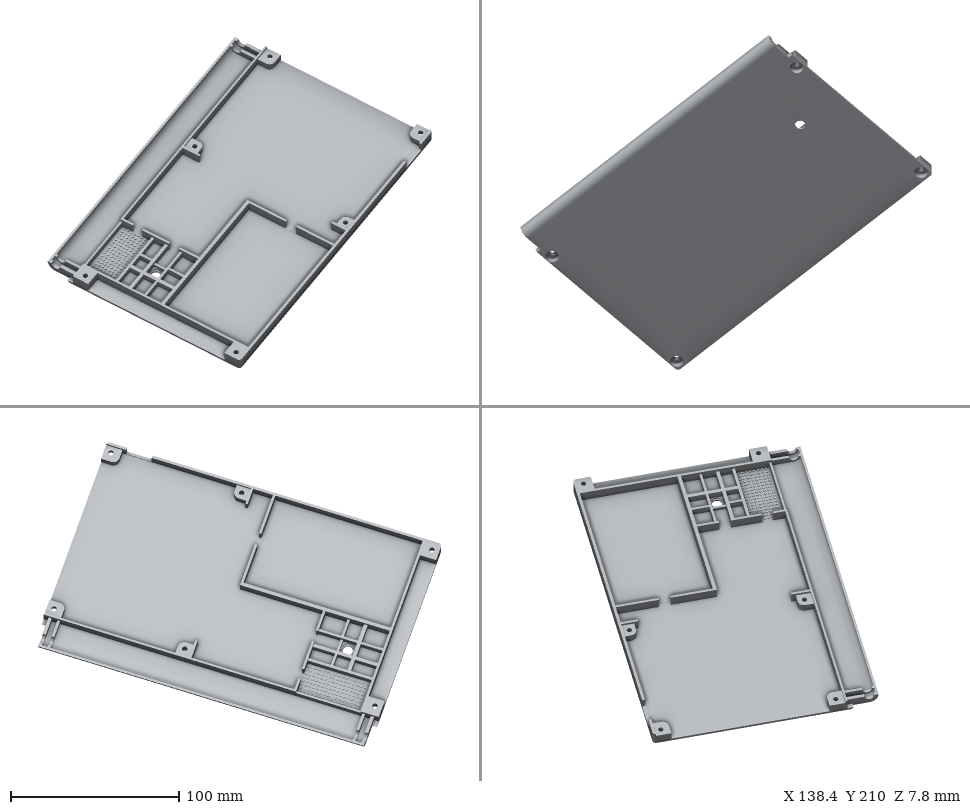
import cadquery as cq

LENGTH_X = 138.4
LENGTH_Y = 210.0
HEIGHT = 7.8
FLOOR = 1.5
WALL = 1.5
CORNER_RADIUS = 2.0

TROUGH_HEIGHT = 5.7
TROUGH_END_GAP = 3.0
NOTCH_RADIUS = 3.0
OUTER_RIB = 2.0
INNER_RIB = 1.7
INNER_RIB_OFFSET = 5.7
FOOT_X = 16.0
FOOT_BEVEL = 1.3

LEFT_WALL_X = 19.7
LEFT_WALL_INNER = 21.0
RIGHT_WALL = 1.7
RIGHT_WALL_INNER = LENGTH_X - RIGHT_WALL
FRONT_WALL_Y = 10.0
FRONT_WALL_INNER = FRONT_WALL_Y + WALL
RIGHT_WALL_GAP_START = 181.5
RIGHT_WALL_SILL = 2.0
RIGHT_WALL_GAP_END = 197.5

BAY_WALL_X = 75.0
BAY_WALL = 2.0
BAY_TOP_Y = 105.5
BAY_GAP_START = 103.1
BAY_GAP_END = 110.5
BAY_FLOOR = 1.3

CELL_BACK_Y = 51.9
CELL_BACK_SPANS = [(LEFT_WALL_X, 28.5), (35.0, 54.2), (61.3, BAY_WALL_X)]
CELL_X_WALLS = [(42.0, 43.7), (51.5, 53.5), (62.2, 63.6)]
CELL_Y_WALLS = [(25.5, 27.7), (36.5, 38.0)]
LOW_WALL_TOP = 5.9
CABLE_SILL_TOP = 3.8

DIAMOND_SIDES = 4
STUD_COLUMNS = 8
STUD_ROWS = 17
STUD_PITCH = 2.42
STUD_WIDTH = 1.7
STUD_HEIGHT = 0.6
STUD_FIRST_X = 23.3
STUD_FIRST_Y = 12.4

OPENING_X = 57.8
OPENING_Y = 32.1
OPENING_DIAMETER = 6.0
RECESS_DIAMETER = 8.5
RECESS_DEPTH = 0.6

SCREW_X = (25.8, 132.7)
SCREW_INSET_Y = 4.5
SCREW_DIAMETER = 3.2
HEAD_DIAMETER = 8.0
HEAD_DEPTH = 3.5
CORNER_BOSS_INNER_X = (30.7, 127.3)
BACK_BOSS_DEPTH = 10.3
PAD_HEIGHT = 6.3
BOSS_RADIUS = 3.8
MID_BOSS_INNER_X = (30.0, 128.7)
MID_BOSS_BACK_Y = 128.0
MID_SCREW_Y = 123.7
MID_RIB_Y = 117.8
MID_RIB_INNER_X = (32.8, 126.2)


def block(x0, x1, y0, y1, z0, z1):
    """Box given by its two limits along each axis."""
    return cq.Workplane("XY").box(x1 - x0, y1 - y0, z1 - z0, centered=False).translate((x0, y0, z0))


def wall(x0, x1, y0, y1, top=HEIGHT):
    """Upright wall standing on the underside level."""
    return block(x0, x1, y0, y1, 0, top)


def cylinder(x, y, z0, z1, diameter):
    """Upright cylinder from z0 to z1."""
    return cq.Workplane("XY", origin=(x, y, z0)).circle(diameter / 2).extrude(z1 - z0)


def trough_section(radius, x_end, y0, y1):
    """Prism along Y whose XZ section has a rounded lower -X corner centred at the trough top."""
    return (
        cq.Workplane("XZ", origin=(0, y1, 0))
        .moveTo(TROUGH_HEIGHT - radius, TROUGH_HEIGHT)
        .radiusArc((TROUGH_HEIGHT, TROUGH_HEIGHT - radius), -radius)
        .lineTo(x_end, TROUGH_HEIGHT - radius)
        .lineTo(x_end, TROUGH_HEIGHT)
        .close()
        .extrude(y1 - y0)
    )


def trough():
    """Rounded lip and floor, closed near each end by a pair of notched ribs."""
    start = TROUGH_END_GAP
    end = LENGTH_Y - TROUGH_END_GAP
    inner_radius = TROUGH_HEIGHT - FLOOR
    body = trough_section(TROUGH_HEIGHT, LEFT_WALL_INNER, start, end)

    outer_face = start + OUTER_RIB
    rib_face = start + INNER_RIB_OFFSET
    long_face = rib_face + INNER_RIB
    pockets = [
        (outer_face, rib_face),
        (long_face, LENGTH_Y - long_face),
        (LENGTH_Y - rib_face, LENGTH_Y - outer_face),
    ]
    for y0, y1 in pockets:
        body = body.cut(trough_section(inner_radius, LEFT_WALL_X, y0, y1))

    notch = (
        cq.Workplane("XZ", origin=(TROUGH_HEIGHT, end, TROUGH_HEIGHT))
        .circle(NOTCH_RADIUS)
        .extrude(end - start)
    )
    return body.cut(notch)


def base_plate():
    """Floor of the tray, bevelled below at the two short feet beside the trough."""
    plate = block(FOOT_X, LENGTH_X, 0, LENGTH_Y, 0, FLOOR)
    return plate.faces("<X").edges("<Z").chamfer(FOOT_BEVEL)


def outer_walls():
    """Left, right and front walls; the left one is lowered beside the studs, the right one has a gap."""
    left = wall(LEFT_WALL_X, LEFT_WALL_INNER, 0, LENGTH_Y)
    left = left.cut(
        block(LEFT_WALL_X, LEFT_WALL_INNER, FRONT_WALL_INNER, CELL_BACK_Y, LOW_WALL_TOP, HEIGHT)
    )
    right = wall(RIGHT_WALL_INNER, LENGTH_X, 0, RIGHT_WALL_GAP_START)
    right_end = wall(RIGHT_WALL_INNER, LENGTH_X, RIGHT_WALL_GAP_END, LENGTH_Y)
    sill = wall(RIGHT_WALL_INNER, LENGTH_X, RIGHT_WALL_GAP_START, RIGHT_WALL_GAP_END, RIGHT_WALL_SILL)
    front = wall(LEFT_WALL_X, LENGTH_X, FRONT_WALL_Y, FRONT_WALL_INNER)
    return left.union(right).union(right_end).union(sill).union(front)


def bay_walls():
    """Side and back walls of the rectangular bay, with a gap in the back wall."""
    back_face = BAY_TOP_Y - WALL
    side = wall(BAY_WALL_X, BAY_WALL_X + BAY_WALL, FRONT_WALL_Y, BAY_TOP_Y)
    back_left = wall(BAY_WALL_X, BAY_GAP_START, back_face, BAY_TOP_Y)
    back_right = wall(BAY_GAP_END, LENGTH_X, back_face, BAY_TOP_Y)
    return side.union(back_left).union(back_right)


def cell_walls():
    """Crossing walls of the small compartments and their interrupted back wall."""
    grid_start = CELL_X_WALLS[0][0]
    walls = cq.Workplane("XY")
    for x0, x1 in CELL_BACK_SPANS:
        walls = walls.union(wall(x0, x1, CELL_BACK_Y, CELL_BACK_Y + WALL))
    for x0, x1 in CELL_X_WALLS:
        walls = walls.union(wall(x0, x1, FRONT_WALL_Y, CELL_BACK_Y, LOW_WALL_TOP))
    for y0, y1 in CELL_Y_WALLS:
        walls = walls.union(wall(grid_start, BAY_WALL_X, y0, y1, LOW_WALL_TOP))
    low_start = CELL_X_WALLS[1][1]
    low_end = CELL_X_WALLS[2][0]
    low_y0, low_y1 = CELL_Y_WALLS[1]
    return walls.cut(block(low_start, low_end, low_y0, low_y1, CABLE_SILL_TOP, HEIGHT))


def bay_recess():
    """Shallow recess over the whole floor of the bay."""
    return block(
        BAY_WALL_X + BAY_WALL, RIGHT_WALL_INNER, FRONT_WALL_INNER, BAY_TOP_Y - WALL, BAY_FLOOR, FLOOR
    )


def boss(x0, x1, y0, y1, height, rounded_edge):
    """Upright pad with one vertical edge rounded."""
    return wall(x0, x1, y0, y1, height).edges(rounded_edge).fillet(BOSS_RADIUS)


def bosses():
    """Front corner blocks, back corner pads, and middle pads with a short rib in front of each."""
    left = LEFT_WALL_X
    right = LENGTH_X
    corner_left, corner_right = CORNER_BOSS_INNER_X
    mid_left, mid_right = MID_BOSS_INNER_X
    rib_left, rib_right = MID_RIB_INNER_X
    rib_back = MID_RIB_Y + WALL
    back_y = LENGTH_Y - BACK_BOSS_DEPTH

    pads = wall(left, corner_left, 0, FRONT_WALL_INNER)
    pads = pads.union(wall(corner_right, right, 0, FRONT_WALL_INNER))
    pads = pads.union(boss(left, corner_left, back_y, LENGTH_Y, PAD_HEIGHT, "|Z and >X and <Y"))
    pads = pads.union(boss(corner_right, RIGHT_WALL_INNER, back_y, LENGTH_Y, PAD_HEIGHT, "|Z and <X and <Y"))
    pads = pads.union(boss(left, mid_left, rib_back, MID_BOSS_BACK_Y, PAD_HEIGHT, "|Z and >X and >Y"))
    pads = pads.union(boss(mid_right, right, rib_back, MID_BOSS_BACK_Y, PAD_HEIGHT, "|Z and <X and >Y"))
    pads = pads.union(wall(left, rib_left, MID_RIB_Y, rib_back))
    return pads.union(wall(rib_right, right, MID_RIB_Y, rib_back))


def screw_holes():
    """Headed through holes at the corners and blind pilot holes in the middle pads."""
    holes = cq.Workplane("XY")
    for x in SCREW_X:
        for y in (SCREW_INSET_Y, LENGTH_Y - SCREW_INSET_Y):
            holes = holes.union(cylinder(x, y, 0, HEIGHT, SCREW_DIAMETER))
            holes = holes.union(cylinder(x, y, 0, HEAD_DEPTH, HEAD_DIAMETER))
        holes = holes.union(cylinder(x, MID_SCREW_Y, FLOOR, HEIGHT, SCREW_DIAMETER))
    return holes


def opening():
    """Through opening with a shallow round recess around it."""
    recess = cylinder(OPENING_X, OPENING_Y, FLOOR - RECESS_DEPTH, FLOOR, RECESS_DIAMETER)
    return recess.union(cylinder(OPENING_X, OPENING_Y, 0, FLOOR, OPENING_DIAMETER))


def studs():
    """Grid of low diamond-shaped studs, with corners along X and Y, standing on the floor."""
    centres = [
        (STUD_FIRST_X + i * STUD_PITCH, STUD_FIRST_Y + j * STUD_PITCH)
        for i in range(STUD_COLUMNS)
        for j in range(STUD_ROWS)
    ]
    return (
        cq.Workplane("XY", origin=(0, 0, 0))
        .pushPoints(centres)
        .polygon(DIAMOND_SIDES, STUD_WIDTH)
        .extrude(FLOOR + STUD_HEIGHT)
    )


tray = base_plate().union(trough())
for feature in (outer_walls(), bay_walls(), cell_walls(), bosses(), studs()):
    tray = tray.union(feature)

right_corners = block(0, LENGTH_X, 0, LENGTH_Y, 0, HEIGHT).edges("|Z and >X").fillet(CORNER_RADIUS)
tray = tray.intersect(right_corners)

result = tray.cut(bay_recess()).cut(screw_holes()).cut(opening())